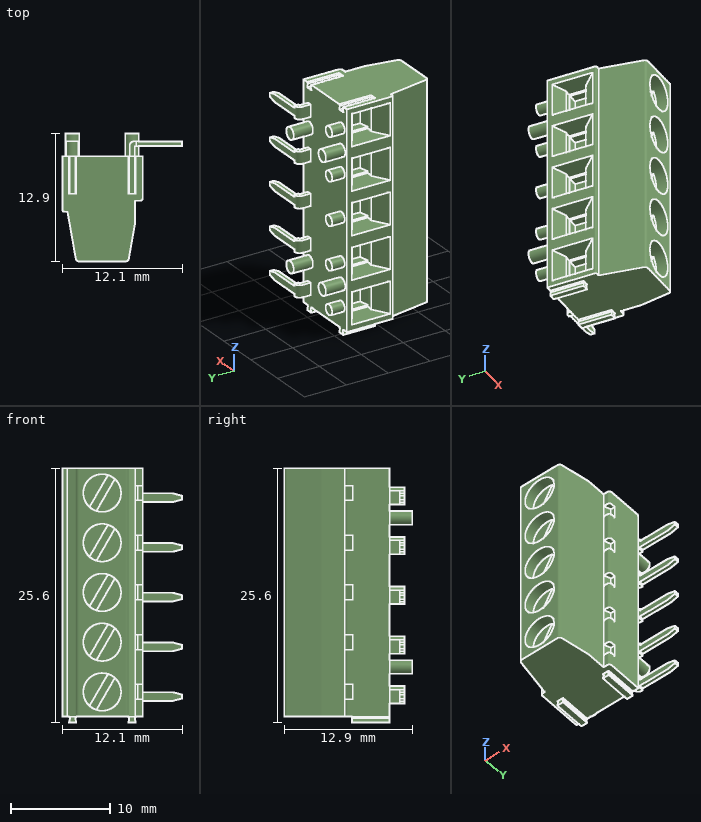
import cadquery as cq
import math


pole_count = 5
pole_pitch = 5.0
body_length = pole_count * pole_pitch
pole_heights = [(pole + 0.5) * pole_pitch for pole in range(pole_count)]

body_width = 8.1
body_depth = 10.6
entry_step_depth = 5.6
entry_step_width = 0.5
flange_depth = 4.5
rear_wall_x = 7.3
rear_taper_start = 6.85
taper_angle = math.radians(10)
step_fillet = 0.2
flange_fillet = 0.3
nose_fillet = 0.35

centre_x = 4.0
row_spacing = 6.0
row_xs = [centre_x - row_spacing / 2, centre_x + row_spacing / 2]
peg_diameter = 1.4
peg_length = 2.3
peg_heights = [pole_pitch, body_length - pole_pitch]
pin_length = 1.5
round_pin_diameter = 1.2

dovetail_xs = [1.03, 7.0]
dovetail_length = 3.8
dovetail_height = 0.6
dovetail_neck_height = 0.15
dovetail_wide = 0.76
dovetail_neck = 0.56

screw_diameter = 3.8
screw_recess = 1.3
screw_slot_width = 0.8
screw_slot_depth = 0.5
screw_slot_angle = 60

mouth_near, mouth_far = 0.57, 5.2
mouth_height = 3.67
throat_near, throat_far = 1.48, 3.73
throat_height = 2.85
side_ramp_depth = 1.3
end_ramp_depth = 1.6
throat_end = 1.9
clamp_near, clamp_far = 1.58, 3.73
clamp_floor_far = 3.5
clamp_height = 2.48
clamp_end = 3.0

notch_height = 1.5
notch_depth = 0.8
notch_ramp_width = 0.3

pin_reach = 12.05
pin_thickness = 0.5
pin_offset = 0.47
pin_root_width = 1.4
pin_root_end = 7.45
pin_width = 0.9
pin_tip_width = 0.4
pin_tip_length = 0.95
pin_bend_radius = 0.5

embed = 0.5


def box(x_range, y_range, z_range):
    """Axis-aligned box between the given limits."""
    size = [high - low for low, high in (x_range, y_range, z_range)]
    corner = (x_range[0], y_range[0], z_range[0])
    return cq.Workplane("XY").box(*size, centered=False).translate(corner)


def make_body():
    entry_nose_x = entry_step_width + (body_depth - entry_step_depth) * math.tan(taper_angle)
    rear_nose_x = rear_wall_x - (body_depth - rear_taper_start) * math.tan(taper_angle)
    outline = [
        (0, 0),
        (0, -entry_step_depth),
        (entry_step_width, -entry_step_depth),
        (entry_nose_x, -body_depth),
        (rear_nose_x, -body_depth),
        (rear_wall_x, -rear_taper_start),
        (rear_wall_x, -flange_depth),
        (body_width, -flange_depth),
        (body_width, 0),
    ]
    body = cq.Workplane("XY").polyline(outline).close().extrude(body_length)

    def round_corner(solid, x, y, radius):
        corner = cq.selectors.NearestToPointSelector((x, y, body_length / 2))
        return solid.edges("|Z").edges(corner).fillet(radius)

    body = round_corner(body, 0, -entry_step_depth, step_fillet)
    body = round_corner(body, body_width, -flange_depth, flange_fillet)
    body = round_corner(body, entry_nose_x, -body_depth, nose_fillet)
    return round_corner(body, rear_nose_x, -body_depth, nose_fillet)


def make_dovetail(x):
    """Rail hanging below Z = 0: chamfered root, narrow neck, wide foot."""
    half_wide = dovetail_wide / 2
    half_neck = dovetail_neck / 2
    profile = [
        (-half_wide, 0),
        (-half_neck, -dovetail_neck_height),
        (-half_wide, -dovetail_height),
        (half_wide, -dovetail_height),
        (half_neck, -dovetail_neck_height),
        (half_wide, 0),
    ]
    rail = cq.Workplane("XZ").polyline(profile).close().extrude(dovetail_length)
    return rail.translate((x, 0, 0))


def make_peg(x, z, diameter, length):
    """Round peg standing out of the mounting face."""
    peg = cq.Workplane("XZ").circle(diameter / 2).extrude(-(length + embed))
    return peg.translate((x, -embed, z))


def make_screw_recess(z):
    """Round recess in the front face with a slanted driver slot in its floor."""
    slot_end = screw_recess + screw_slot_depth
    recess = cq.Workplane("XZ").circle(screw_diameter / 2).extrude(-screw_recess)
    slot = cq.Workplane("XZ").rect(screw_diameter, screw_slot_width).extrude(-slot_end)
    slot = slot.rotate((0, 0, 0), (0, 1, 0), -screw_slot_angle)
    slot = slot.intersect(cq.Workplane("XZ").circle(screw_diameter / 2).extrude(-slot_end))
    return recess.union(slot).translate((centre_x, -body_depth, z))


def make_funnel():
    """Funnel and throat: the overlap of its plan section and its upright section."""
    plan = [
        (0, -mouth_near),
        (side_ramp_depth, -throat_near),
        (throat_end, -throat_near),
        (throat_end, -throat_far),
        (side_ramp_depth, -throat_far),
        (0, -mouth_far),
    ]
    upright = [
        (0, mouth_height / 2),
        (end_ramp_depth, throat_height / 2),
        (throat_end, throat_height / 2),
        (throat_end, -throat_height / 2),
        (end_ramp_depth, -throat_height / 2),
        (0, -mouth_height / 2),
    ]
    plan_prism = cq.Workplane("XY").polyline(plan).close().extrude(mouth_height / 2, both=True)
    upright_prism = cq.Workplane("XZ").polyline(upright).close().extrude(mouth_far)
    return plan_prism.intersect(upright_prism)


def make_clamp_chamber():
    """Chamber behind the throat, narrowing towards its floor on the far side."""
    plan = [
        (throat_end, -clamp_near),
        (clamp_end, -clamp_near),
        (clamp_end, -clamp_floor_far),
        (throat_end, -clamp_far),
    ]
    return cq.Workplane("XY").polyline(plan).close().extrude(clamp_height / 2, both=True)


def make_wire_entry(z):
    """Complete wire entry of the pole at height z."""
    return make_funnel().union(make_clamp_chamber()).translate((0, 0, z))


def make_flange_notch(z):
    """Notch in the flange front: a ramp next to the rear wall, then a flat floor."""
    floor_y = notch_depth - flange_depth
    profile = [
        (rear_wall_x, -flange_depth),
        (rear_wall_x + notch_ramp_width, floor_y),
        (body_width, floor_y),
        (body_width, -flange_depth),
    ]
    notch = cq.Workplane("XY").polyline(profile).close().extrude(notch_height)
    return notch.translate((0, 0, z - notch_height / 2))


def make_solder_pin(z):
    """Flat pin leaving the mounting face, bent towards +X and pointed at its end."""
    leg_x = row_xs[1] - pin_thickness / 2
    inner_y = pin_length - pin_thickness
    root_z = (-pin_root_width / 2, pin_root_width / 2)
    leg = box((leg_x, leg_x + pin_thickness), (-embed, pin_length), root_z)
    root = box((leg_x, pin_root_end), (inner_y, pin_length), root_z)
    bend = cq.selectors.NearestToPointSelector((leg_x, pin_length, 0))
    root = leg.union(root).edges("|Z").edges(bend).fillet(pin_bend_radius)

    tip_start = pin_reach - pin_tip_length
    blade_outline = [
        (leg_x + pin_thickness, -pin_width / 2),
        (tip_start, -pin_width / 2),
        (pin_reach, -pin_tip_width / 2),
        (pin_reach, pin_tip_width / 2),
        (tip_start, pin_width / 2),
        (leg_x + pin_thickness, pin_width / 2),
    ]
    blade = cq.Workplane("XZ").polyline(blade_outline).close().extrude(-pin_thickness)
    blade = blade.translate((0, inner_y, 0))
    return root.union(blade).translate((0, 0, z - pin_offset))


result = make_body()

for dovetail_x in dovetail_xs:
    rail = make_dovetail(dovetail_x)
    result = result.cut(rail.translate((0, 0, body_length))).union(rail)

for row_x in row_xs:
    for peg_z in peg_heights:
        result = result.union(make_peg(row_x, peg_z, peg_diameter, peg_length))

for pole_z in pole_heights:
    result = result.cut(make_screw_recess(pole_z))
    result = result.cut(make_wire_entry(pole_z))
    result = result.cut(make_flange_notch(pole_z))
    result = result.union(make_peg(row_xs[0], pole_z, round_pin_diameter, pin_length))
    result = result.union(make_solder_pin(pole_z))